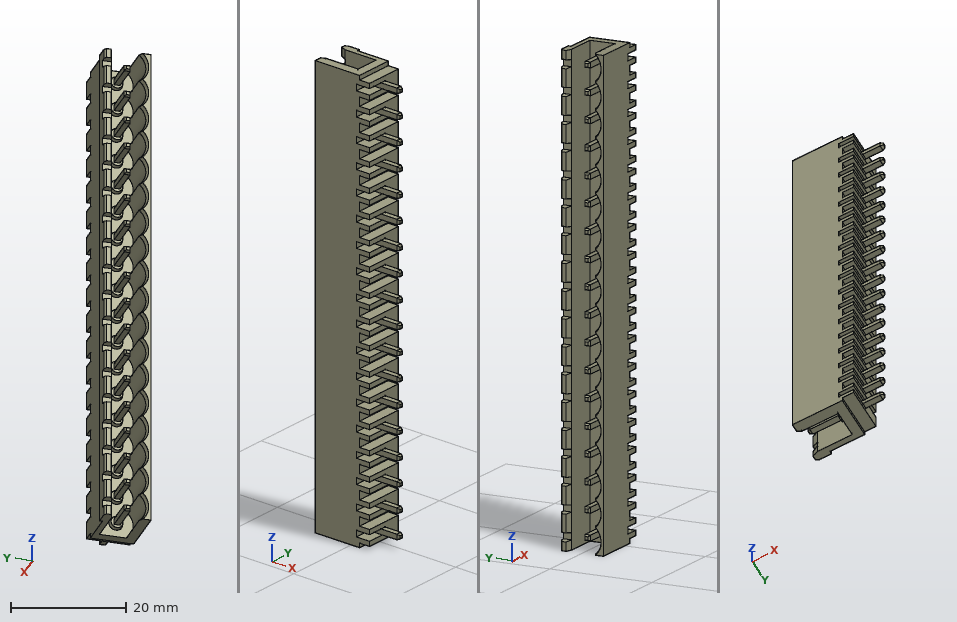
import cadquery as cq


length = 90.0
pin_count = 18
pitch = length / pin_count
pin_y = 3.9
pin_positions = [(i + 0.5) * pitch for i in range(pin_count)]

floor_x = 8.1
base_x = 10.0
foot_x = 12.2
back_outer_y = 7.9
back_inner_y = 6.8

ridge_y = 8.5
ridge_x = 3.1
ridge_chamfer_x = 0.5
ridge_chamfer_y = 0.4
lip_y = 7.3
lip_x = 1.2

notch_floor_width = 1.3
notch_mouth_width = 1.6

scallop_radius = 3.15
scallop_mouth_radius = 3.4
scallop_taper = 0.8

foot_width = 3.2
slot_width = 1.3
slot_x = 9.3

pin_width = 1.1
tip_width = 0.6
tip_length = 0.5
pin_front_x = 1.1
pin_end_x = 16.2
tail_start_x = 9.8
collar_x = 7.4
collar_front_radius = 1.1
collar_base_radius = 1.3


def make_block(x0, x1, y0, y1, z0, z1):
    return cq.Workplane("XY").box(x1 - x0, y1 - y0, z1 - z0, centered=False).translate((x0, y0, z0))


def make_cone(x0, radius0, x1, radius1, z):
    """Cone or cylinder on a pin axis, from x0 to x1."""
    profile = [(x0, 0), (x0, radius0), (x1, radius1), (x1, 0)]
    cone = cq.Workplane("XY").polyline(profile).close().revolve(360, (0, 0, 0), (1, 0, 0))
    return cone.translate((0, pin_y, z))


def make_housing():
    outline = [
        (0, 0),
        (base_x, 0),
        (base_x, back_outer_y),
        (ridge_x, back_outer_y),
        (ridge_x, ridge_y),
        (ridge_chamfer_x, ridge_y),
        (0, ridge_y - ridge_chamfer_y),
        (0, lip_y),
        (lip_x, back_inner_y),
        (floor_x, back_inner_y),
        (floor_x, pin_y),
        (0, pin_y),
    ]
    return cq.Workplane("XY").polyline(outline).close().extrude(length)


def make_scallop(z):
    bore = make_cone(0, scallop_radius, floor_x, scallop_radius, z)
    mouth = make_cone(0, scallop_mouth_radius, scallop_taper, scallop_radius, z)
    front_half = make_block(0, floor_x, 0, pin_y, z - pitch / 2, z + pitch / 2)
    return bore.union(mouth).intersect(front_half)


def make_notch(z):
    floor_half = notch_floor_width / 2
    mouth_half = notch_mouth_width / 2
    outline = [(0, -mouth_half), (lip_x, -floor_half), (lip_x, floor_half), (0, mouth_half)]
    notch = cq.Workplane("XZ").polyline(outline).close().extrude(back_inner_y - ridge_y)
    return notch.translate((0, back_inner_y, z))


def make_foot(z):
    return make_block(base_x, foot_x, 0, back_outer_y, z - foot_width / 2, z + foot_width / 2)


def make_tail_slot(z):
    slot_floor_y = pin_y + pin_width / 2
    return make_block(slot_x, foot_x, 0, slot_floor_y, z - slot_width / 2, z + slot_width / 2)


def make_tip(shoulder_x, direction, z):
    plane = cq.Plane(origin=(shoulder_x, pin_y, z), xDir=(0, 1, 0), normal=(direction, 0, 0))
    tip = cq.Workplane(plane).rect(pin_width, pin_width)
    return tip.workplane(offset=tip_length).rect(tip_width, tip_width).loft()


def make_shank(x0, x1, z):
    half = pin_width / 2
    return make_block(x0, x1, pin_y - half, pin_y + half, z - half, z + half)


def make_pin(z):
    front_shoulder_x = pin_front_x + tip_length
    tail_shoulder_x = pin_end_x - tip_length
    front = make_shank(front_shoulder_x, floor_x, z).union(make_tip(front_shoulder_x, -1, z))
    tail = make_shank(tail_start_x, tail_shoulder_x, z).union(make_tip(tail_shoulder_x, 1, z))
    collar = make_cone(collar_x, collar_front_radius, floor_x, collar_base_radius, z)
    return front.union(collar).union(tail)


header = make_housing()
for z in pin_positions:
    header = header.cut(make_scallop(z)).cut(make_notch(z))
    header = header.union(make_foot(z)).cut(make_tail_slot(z))
    header = header.union(make_pin(z))

result = header